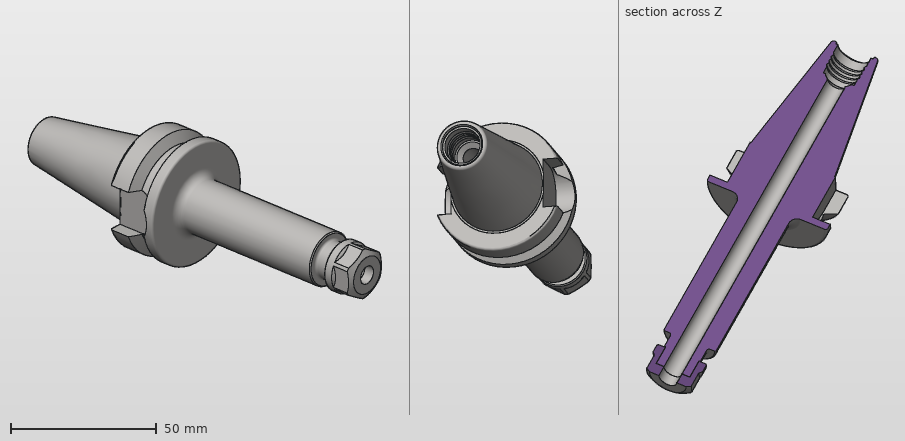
import cadquery as cq
import math

OVERALL_LENGTH = 148.4

FLANGE_DIA = 46.0
FLANGE_START = 49.4
FLANGE_LENGTH = 20.9
FLANGE_END = FLANGE_START + FLANGE_LENGTH
FLANGE_EDGE_FILLET = 0.9
GROOVE_START = 57.7
GROOVE_FLOOR_DIA = 38.0
GROOVE_FLOOR_LENGTH = 3.5
GROOVE_SIDE_ANGLE = 30.0

RELIEF_DIA = 33.5
RELIEF_DEPTH = 0.1

TAPER_RATIO = 7 / 24
TAPER_LENGTH = FLANGE_START + RELIEF_DEPTH
TAPER_LARGE_DIA = 32.0
TAPER_SMALL_DIA = TAPER_LARGE_DIA - TAPER_RATIO * TAPER_LENGTH
TAPER_END_FILLET = 1.2

KEYWAY_WIDTH = 17.2
KEYWAY_END = 67.5
KEYWAY_FLOOR_RADIUS = 16.3

SHANK_DIA = 20.0
SHANK_END = 131.2
SHANK_ROOT_FILLET = 3.1
SHANK_END_CHAMFER = 0.5
NECK_DIA = 14.0
NECK_ROOT_FILLET = 0.9

MOUTH_DIA = 14.8
MOUTH_STEP_DIA = 14.0
MOUTH_STEP_DEPTH = 0.9
MOUTH_CHAMFER = (MOUTH_DIA - MOUTH_STEP_DIA) / 2
PILOT_DIA = 12.5
PILOT_DEPTH = 4.5
THREAD_CREST_DIA = 11.6
THREAD_PITCH = 1.8
THREAD_TURNS = 3
TAPPED_BORE_DEPTH = 13.4
FLOOR_CONE_DIA = 10.2
FLOOR_CONE_LENGTH = 1.8
THROUGH_BORE_DIA = 6.7

NUT_DIA = 19.0
NUT_START = 137.0
NUT_COLLAR_CHAMFER = 0.5
HEX_START = 140.5
HEX_ACROSS_FLATS = 17.0
NOSE_START = 146.9
NOSE_DIA = 14.0

SPIGOT_DIA = 13.0
SPIGOT_LENGTH = 7.4


def revolve_about_x(profile):
    """Turn a closed (X, radius) profile about the X axis."""
    return profile.close().revolve(360, (0, 0, 0), (1, 0, 0))


def cylinder_along_x(diameter, start, length):
    return cq.Workplane("YZ").workplane(offset=start).circle(diameter / 2).extrude(length)


def edges_at(x, radius):
    """Select the circular edges at one X place and radius."""
    margin = 0.01
    reach = radius + margin
    return cq.selectors.BoxSelector(
        (x - margin, -reach, -reach), (x + margin, reach, reach), boundingbox=True
    )


def turned_blank():
    side_run = (FLANGE_DIA - GROOVE_FLOOR_DIA) / 2 * math.tan(math.radians(GROOVE_SIDE_ANGLE))
    floor_start = GROOVE_START + side_run
    floor_end = floor_start + GROOVE_FLOOR_LENGTH
    fillet = SHANK_ROOT_FILLET
    fillet_mid = fillet * (1 - math.sqrt(0.5))
    shank_radius = SHANK_DIA / 2
    neck_radius = NECK_DIA / 2
    neck_mid = NECK_ROOT_FILLET * (1 - math.sqrt(0.5))
    edge = FLANGE_EDGE_FILLET
    edge_mid = edge * (1 - math.sqrt(0.5))
    flange_radius = FLANGE_DIA / 2
    profile = (
        cq.Workplane("XY")
        .moveTo(0, 0)
        .lineTo(0, TAPER_SMALL_DIA / 2)
        .lineTo(TAPER_LENGTH, TAPER_LARGE_DIA / 2)
        .lineTo(TAPER_LENGTH, RELIEF_DIA / 2)
        .lineTo(FLANGE_START, RELIEF_DIA / 2)
        .lineTo(FLANGE_START, flange_radius - edge)
        .threePointArc(
            (FLANGE_START + edge_mid, flange_radius - edge_mid),
            (FLANGE_START + edge, flange_radius),
        )
        .lineTo(GROOVE_START, flange_radius)
        .lineTo(floor_start, GROOVE_FLOOR_DIA / 2)
        .lineTo(floor_end, GROOVE_FLOOR_DIA / 2)
        .lineTo(floor_end + side_run, flange_radius)
        .lineTo(FLANGE_END - edge, flange_radius)
        .threePointArc(
            (FLANGE_END - edge_mid, flange_radius - edge_mid),
            (FLANGE_END, flange_radius - edge),
        )
        .lineTo(FLANGE_END, shank_radius + fillet)
        .threePointArc(
            (FLANGE_END + fillet_mid, shank_radius + fillet_mid),
            (FLANGE_END + fillet, shank_radius),
        )
        .lineTo(SHANK_END - SHANK_END_CHAMFER, shank_radius)
        .lineTo(SHANK_END, shank_radius - SHANK_END_CHAMFER)
        .lineTo(SHANK_END, neck_radius + NECK_ROOT_FILLET)
        .threePointArc(
            (SHANK_END + neck_mid, neck_radius + neck_mid),
            (SHANK_END + NECK_ROOT_FILLET, neck_radius),
        )
        .lineTo(NUT_START, neck_radius)
        .lineTo(NUT_START, SPIGOT_DIA / 2)
        .lineTo(NUT_START + SPIGOT_LENGTH, SPIGOT_DIA / 2)
        .lineTo(NUT_START + SPIGOT_LENGTH, 0)
    )
    blank = revolve_about_x(profile)
    return blank.edges(edges_at(0, TAPER_SMALL_DIA / 2)).fillet(TAPER_END_FILLET)


def holder_bores():
    profile = (
        cq.Workplane("XY")
        .moveTo(0, 0)
        .lineTo(0, MOUTH_DIA / 2)
        .lineTo(MOUTH_CHAMFER, MOUTH_STEP_DIA / 2)
        .lineTo(MOUTH_STEP_DEPTH, MOUTH_STEP_DIA / 2)
        .lineTo(MOUTH_STEP_DEPTH, PILOT_DIA / 2)
        .lineTo(PILOT_DEPTH, PILOT_DIA / 2)
    )
    for turn in range(THREAD_TURNS):
        root_x = PILOT_DEPTH + turn * THREAD_PITCH
        profile = profile.lineTo(root_x + THREAD_PITCH / 2, THREAD_CREST_DIA / 2)
        profile = profile.lineTo(root_x + THREAD_PITCH, PILOT_DIA / 2)
    thread_end = PILOT_DEPTH + THREAD_TURNS * THREAD_PITCH
    profile = (
        profile.lineTo(thread_end + THREAD_PITCH / 2, THREAD_CREST_DIA / 2)
        .lineTo(TAPPED_BORE_DEPTH, THREAD_CREST_DIA / 2)
        .lineTo(TAPPED_BORE_DEPTH, FLOOR_CONE_DIA / 2)
        .lineTo(TAPPED_BORE_DEPTH + FLOOR_CONE_LENGTH, THROUGH_BORE_DIA / 2)
        .lineTo(OVERALL_LENGTH, THROUGH_BORE_DIA / 2)
        .lineTo(OVERALL_LENGTH, 0)
    )
    return revolve_about_x(profile)


def keyway(side):
    """Keyway cutter on one side of the flange: side is -1 or 1 along Y."""
    half_width = KEYWAY_WIDTH / 2
    depth = FLANGE_DIA / 2 - KEYWAY_FLOOR_RADIUS
    middle_y = side * (KEYWAY_FLOOR_RADIUS + depth / 2)
    return (
        cq.Workplane("XZ", origin=(0, middle_y, 0))
        .moveTo(FLANGE_START, -half_width)
        .lineTo(KEYWAY_END - half_width, -half_width)
        .threePointArc((KEYWAY_END, 0), (KEYWAY_END - half_width, half_width))
        .lineTo(FLANGE_START, half_width)
        .close()
        .extrude(depth / 2, both=True)
    )


def make_holder():
    holder = turned_blank().cut(holder_bores())
    for side in (-1, 1):
        holder = holder.cut(keyway(side))
    return holder


def nut_blank():
    nut_radius = NUT_DIA / 2
    profile = (
        cq.Workplane("XY")
        .moveTo(NUT_START, 0)
        .lineTo(NUT_START, nut_radius - NUT_COLLAR_CHAMFER)
        .lineTo(NUT_START + NUT_COLLAR_CHAMFER, nut_radius)
        .lineTo(NOSE_START, nut_radius)
        .lineTo(OVERALL_LENGTH, NOSE_DIA / 2)
        .lineTo(OVERALL_LENGTH, 0)
    )
    return revolve_about_x(profile)


def hex_envelope():
    """Collar, a 45-degree cone down from it, and the hexagonal prism in front."""
    nut_radius = NUT_DIA / 2
    collar = revolve_about_x(
        cq.Workplane("XY")
        .moveTo(NUT_START, 0)
        .lineTo(NUT_START, nut_radius)
        .lineTo(HEX_START, nut_radius)
        .lineTo(HEX_START + nut_radius, 0)
    )
    hexagon = (
        cq.Workplane("YZ")
        .workplane(offset=HEX_START)
        .polygon(6, HEX_ACROSS_FLATS, circumscribed=True)
        .extrude(OVERALL_LENGTH - HEX_START)
    )
    return collar.union(hexagon)


def make_nut():
    recess = cylinder_along_x(SPIGOT_DIA, NUT_START, SPIGOT_LENGTH)
    bore = cylinder_along_x(THROUGH_BORE_DIA, NUT_START, OVERALL_LENGTH - NUT_START)
    return nut_blank().intersect(hex_envelope()).cut(recess).cut(bore)


holder = make_holder()
nut = make_nut()
result = cq.Compound.makeCompound([holder.val(), nut.val()])